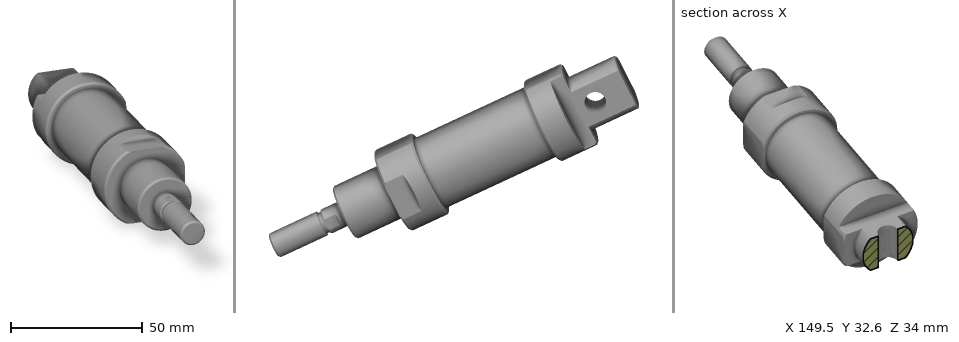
import cadquery as cq
import math

EYE_LENGTH = 20.0
REAR_SLOT_END = 25.3
REAR_COLLAR_END = 36.0
FRONT_COLLAR_START = 83.1
FRONT_COLLAR_END = 99.3
NOSE_END = 119.5
TOTAL_LENGTH = 149.5

BARREL_DIAMETER = 29.2

COLLAR_DIAMETER = 34.0
COLLAR_CHAMFER = 0.7
COLLAR_WIDTH = 32.6
SIDE_FLAT_OFFSET = COLLAR_WIDTH - COLLAR_DIAMETER / 2

STUB_DIAMETER = 22.0
EYE_THICKNESS = 15.8
EYE_CHAMFER = 0.5
EYE_HOLE_DIAMETER = 8.2
EYE_HOLE_X = 13.5
NOSE_CHAMFER = 0.7

FLAT_RAMP_ANGLE = 60.5
CAP_FLAT_OFFSET = 15.0
CAP_FLAT_START = 91.0
ROD_FLAT_OFFSET = 4.5
ROD_FLAT_START = 122.5

ROD_DIAMETER = 10.0
ROD_TIP_CHAMFER = 0.7
NECK_DIAMETER = 8.5
NECK_START = 127.5
NECK_END = 129.0
SHOULDER_CHAMFER = 0.5


def cylinder_x(start, end, diameter):
    """Solid cylinder about the X axis between two stations."""
    return cq.Workplane("YZ").workplane(offset=start).circle(diameter / 2).extrude(end - start)


def cut_flats(body, start, end, offset, diameter, ramp_angle=90.0):
    """Cut two flats at Z = +/- offset into a round body; the -X end wall slopes at ramp_angle."""
    top = diameter / 2
    ramp_run = (top - offset) / math.tan(math.radians(ramp_angle))
    upper_cut = (
        cq.Workplane("XZ")
        .polyline([(start, offset), (end, offset), (end, top), (start - ramp_run, top)])
        .close()
        .extrude(diameter, both=True)
    )
    return body.cut(upper_cut).cut(upper_cut.mirror("XY"))


def make_collar(start, end):
    """Collar with both rims chamfered, then cut flat on its +Y side."""
    round_collar = cylinder_x(start, end, COLLAR_DIAMETER).faces("<X or >X").chamfer(COLLAR_CHAMFER)
    side_cut = (
        cq.Workplane("XY")
        .box(end - start, COLLAR_DIAMETER, COLLAR_DIAMETER, centered=(False, False, True))
        .translate((start, SIDE_FLAT_OFFSET, 0))
    )
    return round_collar.cut(side_cut)


def make_rear_cap():
    """Collar with a flattened eye, drilled vertically for the pivot pin."""
    eye = cylinder_x(0, EYE_LENGTH, STUB_DIAMETER).faces("<X").chamfer(EYE_CHAMFER)
    cap = eye.union(make_collar(EYE_LENGTH, REAR_COLLAR_END))
    cap = cut_flats(cap, 0, REAR_SLOT_END, EYE_THICKNESS / 2, COLLAR_DIAMETER)
    pin_hole = (
        cq.Workplane("XY")
        .center(EYE_HOLE_X, 0)
        .circle(EYE_HOLE_DIAMETER / 2)
        .extrude(EYE_THICKNESS, both=True)
    )
    return cap.cut(pin_hole)


def make_barrel():
    """Plain cylinder between the two caps."""
    return cylinder_x(REAR_COLLAR_END, FRONT_COLLAR_START, BARREL_DIAMETER)


def make_front_cap():
    """Collar with two wrench flats and a round nose."""
    collar = cut_flats(
        make_collar(FRONT_COLLAR_START, FRONT_COLLAR_END),
        CAP_FLAT_START,
        FRONT_COLLAR_END,
        CAP_FLAT_OFFSET,
        COLLAR_DIAMETER,
        FLAT_RAMP_ANGLE,
    )
    nose = cylinder_x(FRONT_COLLAR_END, NOSE_END, STUB_DIAMETER).faces(">X").chamfer(NOSE_CHAMFER)
    return collar.union(nose)


def make_rod():
    """Shank with two wrench flats, a turned neck and a chamfered end."""
    shank = cylinder_x(NOSE_END, NECK_START, ROD_DIAMETER).faces(">X").chamfer(SHOULDER_CHAMFER)
    shank = cut_flats(
        shank, ROD_FLAT_START, NECK_START, ROD_FLAT_OFFSET, ROD_DIAMETER, FLAT_RAMP_ANGLE
    )
    neck = cylinder_x(NECK_START, NECK_END, NECK_DIAMETER)
    rod_end = cylinder_x(NECK_END, TOTAL_LENGTH, ROD_DIAMETER).faces(">X").chamfer(ROD_TIP_CHAMFER)
    return shank.union(neck).union(rod_end)


rear_cap = make_rear_cap()
barrel = make_barrel()
front_cap = make_front_cap()
rod = make_rod()
result = cq.Compound.makeCompound([rear_cap.val(), barrel.val(), front_cap.val(), rod.val()])